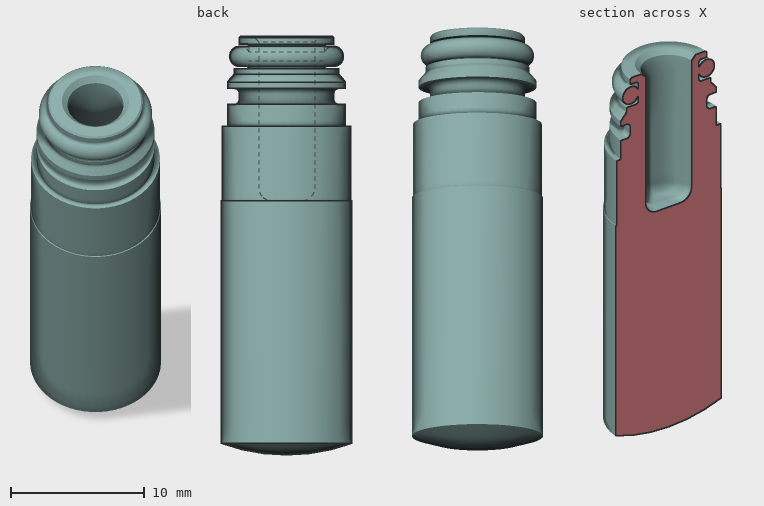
import cadquery as cq

body_radius = 9.8 / 2
sleeve_radius = 9.65 / 2
shoulder_radius = 8.85 / 2
collar_radius = 7.8 / 2
lip_radius = 7.1 / 2
seal_neck_radius = 5.65 / 2

dome_height = 0.88
body_top = 19.03
sleeve_top = 24.6
groove_bottom = 26.25
groove_top = 27.43
cone_bottom = 27.9
cone_top = 28.5
collar_top = 28.9
lip_bottom = 30.75
total_height = 31.35

groove_fillet = 0.35
seal_groove_fillet = 0.2
lip_chamfer = 0.13

ring_outer_radius = 8.5 / 2
ring_section_radius = 0.75
ring_center_z = (collar_top + lip_bottom) / 2

bore_radius = 4.2 / 2
bore_chamfer = 0.4
bore_floor_radius = 2.2 / 2
bore_floor_z = body_top


def add_filleted_groove(profile, radius, top, bottom, fillet):
    """Trace a groove downward, with a quarter-round in each inner corner."""
    return (
        profile.lineTo(radius + fillet, top)
        .radiusArc((radius, top - fillet), -fillet)
        .lineTo(radius, bottom + fillet)
        .radiusArc((radius + fillet, bottom), -fillet)
    )


def make_body():
    """Turned outside shape, traced from the top of the axis to the dome tip."""
    profile = (
        cq.Workplane("XZ")
        .moveTo(0, total_height)
        .lineTo(lip_radius - lip_chamfer, total_height)
        .lineTo(lip_radius, total_height - lip_chamfer)
        .lineTo(lip_radius, lip_bottom)
    )
    profile = add_filleted_groove(profile, seal_neck_radius, lip_bottom, collar_top, seal_groove_fillet)
    profile = (
        profile.lineTo(collar_radius, collar_top)
        .lineTo(collar_radius, cone_top)
        .lineTo(shoulder_radius, cone_bottom)
        .lineTo(shoulder_radius, groove_top)
    )
    profile = add_filleted_groove(profile, lip_radius, groove_top, groove_bottom, groove_fillet)
    dome_radius = (body_radius**2 + dome_height**2) / (2 * dome_height)
    profile = (
        profile.lineTo(shoulder_radius, groove_bottom)
        .lineTo(shoulder_radius, sleeve_top)
        .lineTo(sleeve_radius, sleeve_top)
        .lineTo(sleeve_radius, body_top)
        .lineTo(body_radius, body_top)
        .lineTo(body_radius, dome_height)
        .radiusArc((0, 0), dome_radius)
        .close()
    )
    return profile.revolve()


def make_ring():
    """O-ring whose inner side sinks into the neck, joining it to the body."""
    ring_center_radius = ring_outer_radius - ring_section_radius
    return (
        cq.Workplane("XZ")
        .moveTo(-ring_center_radius, ring_center_z)
        .circle(ring_section_radius)
        .revolve(360, (0, 0), (0, 1))
    )


def make_bore():
    """Blind bore with a chamfered mouth and a rounded edge around a flat floor."""
    floor_fillet = bore_radius - bore_floor_radius
    return (
        cq.Workplane("XZ")
        .moveTo(0, total_height)
        .lineTo(bore_radius + bore_chamfer, total_height)
        .lineTo(bore_radius, total_height - bore_chamfer)
        .lineTo(bore_radius, bore_floor_z + floor_fillet)
        .radiusArc((bore_floor_radius, bore_floor_z), floor_fillet)
        .lineTo(0, bore_floor_z)
        .close()
        .revolve()
    )


result = make_body().union(make_ring()).cut(make_bore())